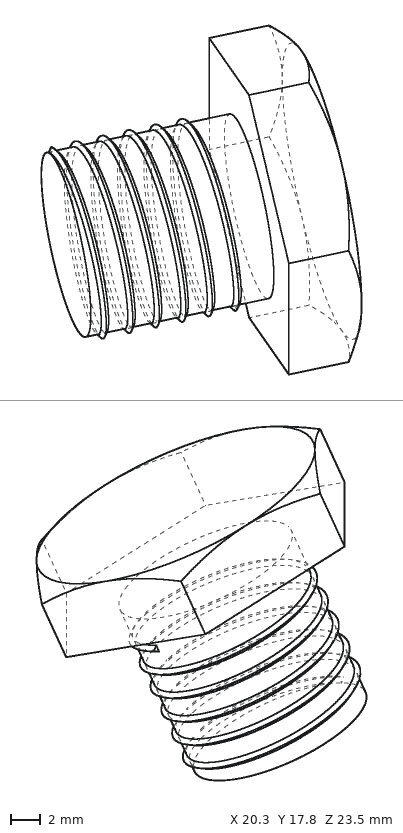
import cadquery as cq
import math

ACROSS_CORNERS = 23.45
ACROSS_FLATS = ACROSS_CORNERS * math.cos(math.radians(30))
HEAD_THICKNESS = 5.07
CHAMFER_ANGLE = 30.0

SHANK_RADIUS = 6.33
SHANK_LENGTH = 12.72

THREAD_LENGTH = 10.13
TURNS = 5.5
PITCH = THREAD_LENGTH / TURNS
CREST_RADIUS = 6.69
ROOT_WIDTH = 0.52
THREAD_START_ANGLE = 135.0


def cylinder_along_y(radius, start, length):
    """Cylinder about the Y axis that runs from Y = start toward +Y."""
    return cq.Workplane("XZ", origin=(0, start, 0)).circle(radius).extrude(-length)


def make_head():
    """Hexagonal head whose outer corners are cut back by a cone."""
    head = (
        cq.Workplane("XZ", origin=(0, SHANK_LENGTH, 0))
        .transformed(rotate=(0, 0, 90))
        .polygon(6, ACROSS_CORNERS)
        .extrude(-HEAD_THICKNESS)
    )
    face_radius = ACROSS_FLATS / 2
    head_back = SHANK_LENGTH + HEAD_THICKNESS
    base_radius = face_radius + HEAD_THICKNESS / math.tan(math.radians(CHAMFER_ANGLE))
    cone = (
        cq.Workplane("XY")
        .moveTo(0, SHANK_LENGTH)
        .lineTo(base_radius, SHANK_LENGTH)
        .lineTo(face_radius, head_back)
        .lineTo(0, head_back)
        .close()
        .revolve(360, (0, 0, 0), (0, 1, 0))
    )
    return head.intersect(cone)


def make_bolt():
    """Head and plain shank in one solid."""
    return make_head().union(cylinder_along_y(SHANK_RADIUS, 0, SHANK_LENGTH))


def make_thread():
    """Ridge wound about Z, then turned so that its axis is Y and its start is at the shank end."""
    half_width = ROOT_WIDTH / 2
    helix = cq.Wire.makeHelix(PITCH, THREAD_LENGTH, SHANK_RADIUS)
    ridge = (
        cq.Workplane("XZ")
        .moveTo(SHANK_RADIUS, -half_width)
        .lineTo(CREST_RADIUS, 0)
        .lineTo(SHANK_RADIUS, half_width)
        .close()
        .sweep(cq.Workplane(obj=helix), isFrenet=True)
    )
    return (
        ridge.rotate((0, 0, 0), (1, 0, 0), -90)
        .rotate((0, 0, 0), (0, 1, 0), -THREAD_START_ANGLE)
        .translate((0, half_width, 0))
    )


bolt = make_bolt()
thread = make_thread()

result = cq.Compound.makeCompound([bolt.val(), thread.val()])